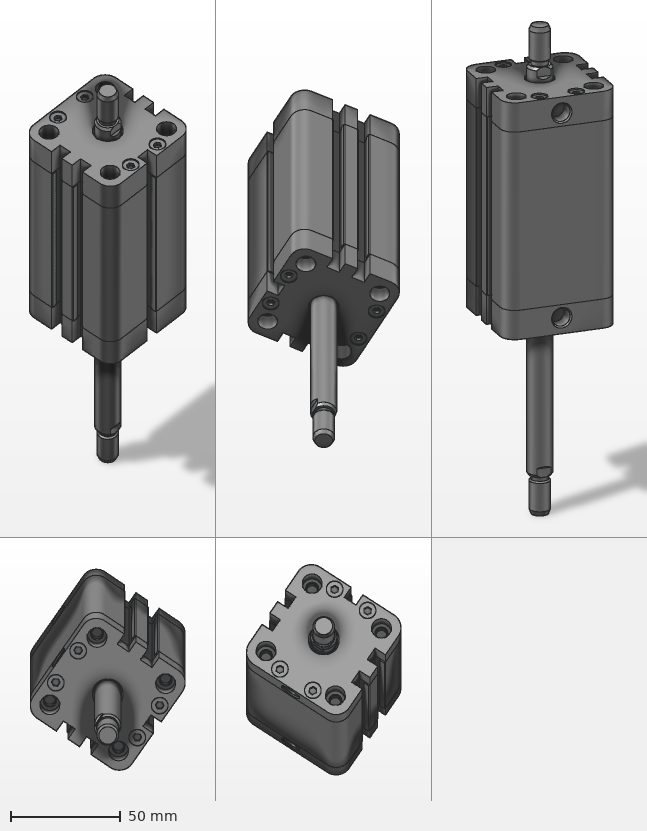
import cadquery as cq
TOTAL_LENGTH = 237.0
BODY_WIDTH = 54.7
HALF_WIDTH = BODY_WIDTH / 2
BODY_LENGTH = 115.0
CAP_LENGTH = 14.2
ROD_OVERHANG_TOP = 25.8
CORNER_RADIUS = 7.0

BODY_TOP = TOTAL_LENGTH / 2 - ROD_OVERHANG_TOP
BODY_BOTTOM = BODY_TOP - BODY_LENGTH
TUBE_LENGTH = BODY_LENGTH - 2 * CAP_LENGTH
TUBE_BOTTOM = BODY_BOTTOM + CAP_LENGTH

SLOT_SPACING = 12.8
SLOT_WIDTH = 6.5
SLOT_DEPTH = 5.7
SLOT_MOUTH_WIDTH = 5.2
SLOT_LIP = 2.8
SLOT_CHAMFER_DEPTH = 0.2

ROD_DIAMETER = 12.0
THREAD_DIAMETER = 10.0
NECK_DIAMETER = 8.0
TIP_DIAMETER = NECK_DIAMETER
TIP_CHAMFER = 2.4
THREAD_LENGTH = 16.8
THREAD_RUNOUT = 0.7
NECK_END = 19.0
ROD_END_CHAMFER = 1.0
ROD_CHAMFER_LENGTH = 1.5
FLAT_END = 23.5
ACROSS_FLATS = 10.0

TUBE_BORE = 40.0
GUIDE_DIAMETER = 12.5
CLEARANCE_DIAMETER = 14.0
CLEARANCE_DEPTH = 1.5

MOUNT_OFFSET = 19.0
COUNTERBORE_DIAMETER = 9.0
COUNTERBORE_DEPTH = 9.5
MOUNT_HOLE_DIAMETER = 5.0
MOUNT_CHAMFER_DIAMETER = 6.0

SCREW_X = 22.5
SCREW_Y = 9.0
SCREW_RECESS_DIAMETER = 7.5
SCREW_RECESS_DEPTH = 0.7
SOCKET_ACROSS_CORNERS = 3.8
SOCKET_DEPTH = 2.0

PORT_DIAMETER = 8.5
PORT_MOUTH_DIAMETER = 10.0
PORT_FROM_END = 7.8


def rounded_block(length):
    block = cq.Workplane("XY").rect(BODY_WIDTH, BODY_WIDTH).extrude(length)
    return block.edges("|Z").fillet(CORNER_RADIUS)


def plain_slot(length):
    """A straight slot along Z, open toward -Y, with its mouth on Y = -HALF_WIDTH."""
    return (
        cq.Workplane("XY").center(0, -HALF_WIDTH + SLOT_DEPTH / 2)
        .rect(SLOT_WIDTH, SLOT_DEPTH).extrude(length)
    )


def lipped_slot(length):
    """The same slot narrowed by two lips with chamfered edges."""
    wide = SLOT_WIDTH / 2
    narrow = SLOT_MOUTH_WIDTH / 2
    right_side = [
        (wide, -HALF_WIDTH),
        (narrow, -HALF_WIDTH + SLOT_CHAMFER_DEPTH),
        (narrow, -HALF_WIDTH + SLOT_LIP),
        (wide, -HALF_WIDTH + SLOT_LIP),
        (wide, -HALF_WIDTH + SLOT_DEPTH),
    ]
    left_side = [(-x, y) for x, y in reversed(right_side)]
    return cq.Workplane("XY").polyline(right_side + left_side).close().extrude(length)


def cut_slots(block, slot):
    """Cut two slots into each Y side and one into the +X side."""
    for x in (-SLOT_SPACING / 2, SLOT_SPACING / 2):
        front_slot = slot.translate((x, 0, 0))
        block = block.cut(front_slot).cut(front_slot.mirror("XZ"))
    return block.cut(slot.rotate((0, 0, 0), (0, 0, 1), 90))


def make_tube():
    tube = rounded_block(TUBE_LENGTH)
    tube = cut_slots(tube, lipped_slot(TUBE_LENGTH))
    bore = cq.Workplane("XY").circle(TUBE_BORE / 2).extrude(TUBE_LENGTH)
    return tube.cut(bore).translate((0, 0, TUBE_BOTTOM))


def make_mounting_hole():
    """A counterbored hole through a cap; its narrow part has a 45 degree chamfer."""
    hole_radius = MOUNT_HOLE_DIAMETER / 2
    chamfer_radius = MOUNT_CHAMFER_DIAMETER / 2
    bore_radius = COUNTERBORE_DIAMETER / 2
    bore_floor = CAP_LENGTH - COUNTERBORE_DEPTH
    outline = [
        (0, 0),
        (hole_radius, 0),
        (hole_radius, bore_floor - (chamfer_radius - hole_radius)),
        (chamfer_radius, bore_floor),
        (bore_radius, bore_floor),
        (bore_radius, CAP_LENGTH),
        (0, CAP_LENGTH),
    ]
    return cq.Workplane("XZ").polyline(outline).close().revolve(360, (0, 0), (0, 1))


def make_screw_head_recess():
    """A shallow round recess with a hexagon socket, one corner of which points along Y."""
    outer_face = cq.Workplane("XY").workplane(offset=CAP_LENGTH)
    recess = outer_face.circle(SCREW_RECESS_DIAMETER / 2).extrude(-SCREW_RECESS_DEPTH)
    socket = outer_face.polygon(6, SOCKET_ACROSS_CORNERS).extrude(-SCREW_RECESS_DEPTH - SOCKET_DEPTH)
    return recess.union(socket.rotate((0, 0, 0), (0, 0, 1), 90))


def make_air_port():
    """A blind port with a chamfered mouth; its floor follows a cylinder as wide as the tube bore."""
    port_height = CAP_LENGTH - PORT_FROM_END
    port_face = cq.Workplane("YZ", origin=(-HALF_WIDTH, 0, port_height))
    floor_cylinder = cq.Workplane("XY").circle(TUBE_BORE / 2).extrude(CAP_LENGTH)
    port = port_face.circle(PORT_DIAMETER / 2).extrude(HALF_WIDTH).cut(floor_cylinder)
    mouth = cq.Solid.makeCone(
        PORT_MOUTH_DIAMETER / 2,
        PORT_DIAMETER / 2,
        (PORT_MOUTH_DIAMETER - PORT_DIAMETER) / 2,
        pnt=cq.Vector(-HALF_WIDTH, 0, port_height),
        dir=cq.Vector(1, 0, 0),
    )
    return port.union(cq.Workplane(obj=mouth))


def make_cap():
    """The top cap, with its inner face on Z = 0."""
    cap = rounded_block(CAP_LENGTH)
    cap = cut_slots(cap, plain_slot(CAP_LENGTH))
    outer_face = cq.Workplane("XY").workplane(offset=CAP_LENGTH)

    cap = cap.cut(outer_face.circle(GUIDE_DIAMETER / 2).extrude(-CAP_LENGTH))
    cap = cap.cut(outer_face.circle(CLEARANCE_DIAMETER / 2).extrude(-CLEARANCE_DEPTH))

    mounting_hole = make_mounting_hole()
    screw_head = make_screw_head_recess()
    for x_side in (-1, 1):
        for y_side in (-1, 1):
            cap = cap.cut(mounting_hole.translate((x_side * MOUNT_OFFSET, y_side * MOUNT_OFFSET, 0)))
            cap = cap.cut(screw_head.translate((x_side * SCREW_X, y_side * SCREW_Y, 0)))

    return cap.cut(make_air_port())


def make_rod():
    """The through rod; both ends are alike."""
    end = TOTAL_LENGTH / 2
    half_outline = [
        (0, end),
        (TIP_DIAMETER / 2, end),
        (THREAD_DIAMETER / 2, end - TIP_CHAMFER),
        (THREAD_DIAMETER / 2, end - THREAD_LENGTH + THREAD_RUNOUT),
        (NECK_DIAMETER / 2, end - THREAD_LENGTH),
        (NECK_DIAMETER / 2, end - NECK_END),
        (ROD_DIAMETER / 2 - ROD_END_CHAMFER, end - NECK_END),
        (ROD_DIAMETER / 2, end - NECK_END - ROD_CHAMFER_LENGTH),
        (ROD_DIAMETER / 2, 0),
        (0, 0),
    ]
    upper = cq.Workplane("XZ").polyline(half_outline).close().revolve(360, (0, 0), (0, 1))

    flat_x = ACROSS_FLATS / 2
    flat_depth = ROD_DIAMETER / 2 - flat_x
    flat_outline = [
        (flat_x, end - NECK_END),
        (flat_x, end - FLAT_END),
        (flat_x + flat_depth, end - FLAT_END - flat_depth),
        (flat_x + flat_depth, end - NECK_END),
    ]
    flat = cq.Workplane("XZ").polyline(flat_outline).close().extrude(ROD_DIAMETER / 2, both=True)
    upper = upper.cut(flat).cut(flat.mirror("YZ"))
    return upper.union(upper.mirror("XY"))


tube = make_tube()
cap = make_cap()
top_cap = cap.translate((0, 0, BODY_TOP - CAP_LENGTH))
bottom_cap = cap.mirror("XY").translate((0, 0, BODY_BOTTOM + CAP_LENGTH))
rod = make_rod()

result = cq.Compound.makeCompound([tube.val(), top_cap.val(), bottom_cap.val(), rod.val()])